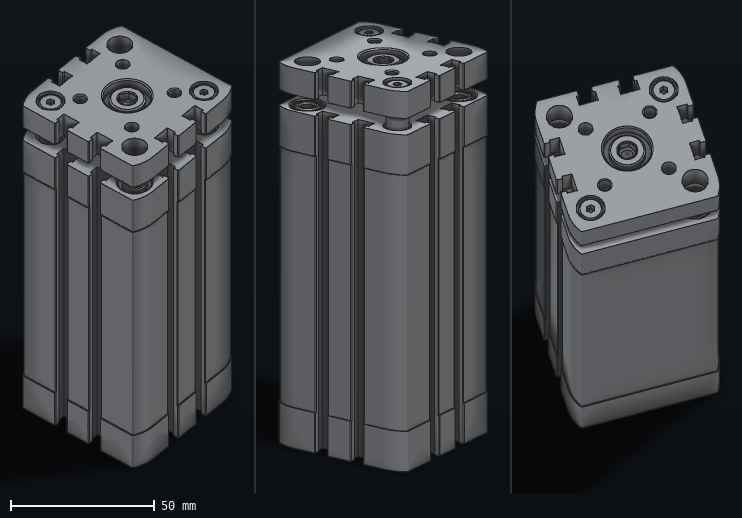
import cadquery as cq
import math


housing_length = 125.0
cap_length = 15.0
gap = 6.1
plate_thickness = 10.0
plate_bottom = housing_length + gap
plate_top = plate_bottom + plate_thickness

cap_width = 54.5
barrel_inset = 0.4
side_flat = 38.3
corner_radius = 14.5
corner_blend = 1.0

slot_pitch = 15.1
neck_width = 5.1
neck_depth = 2.2
mouth_chamfer = 0.35
slot_width = 6.9
slot_depth = 5.8
slot_sides = (-90, 0, 90)

station = 19.0
guide_points = [(-station, -station), (station, station)]
mount_points = [(-station, station), (station, -station)]

guide_diameter = 8.0
guide_tip_drop = 0.6
guide_tip_diameter = 8.5
guide_tip_chamfer = 0.5
guide_recess_diameter = 10.0
guide_recess_depth = 1.5
guide_socket_flats = 2.7
guide_socket_depth = 3.0
guide_socket_turn = 15.0

rod_diameter = 12.0
rod_flats = 10.0
rod_flat_length = 4.9
rod_flat_runout = 0.6
rod_insertion = cap_length
insertion_bottom = housing_length - rod_insertion

head_diameter = 12.8
head_chamfer = 0.6
head_drop = 1.2
recess_diameter = 17.0
recess_depth = 4.0
recess_chamfer = 0.5
head_socket_flats = 6.0
head_socket_depth = 3.5
head_socket_chamfer = 0.4
head_drill_diameter = 4.13
drill_tip_angle = 118.0

mount_access_diameter = 9.0
mount_hole_diameter = 4.92
mount_mouth_diameter = 6.4
mount_mouth_depth = (mount_mouth_diameter - mount_hole_diameter) / 2
ring_diameter = 12.0
ring_chamfer = 0.5
ring_depth = 2.0
collar_diameter = 9.0
collar_top_diameter = 8.0

fixing_circle_diameter = 33.0
fixing = fixing_circle_diameter / 2 / math.sqrt(2)
plain_points = [(-fixing, fixing), (fixing, -fixing)]
thread_points = [(-fixing, -fixing), (fixing, fixing)]
plain_diameter = 5.0
thread_diameter = 4.13
thread_chamfer = (plain_diameter - thread_diameter) / 2

centre = [(0, 0)]


def cylinders(points, diameter, bottom, top):
    """Upright cylinders on the given points."""
    return (
        cq.Workplane("XY", origin=(0, 0, bottom))
        .pushPoints(points)
        .circle(diameter / 2)
        .extrude(top - bottom)
    )


def cones(points, bottom_diameter, top_diameter, bottom, top):
    """Upright cones or truncated cones on the given points."""
    solid = cq.Solid.makeCone(bottom_diameter / 2, top_diameter / 2, top - bottom)
    return cq.Workplane("XY").newObject(
        [solid.translate(cq.Vector(x, y, bottom)) for x, y in points]
    ).combine()


def hexagons(points, flats, turn, bottom, top):
    """Upright hexagonal prisms; at zero turn two corners lie along X."""
    prism = (
        cq.Workplane("XY", origin=(0, 0, bottom))
        .polygon(6, flats / math.cos(math.pi / 6))
        .extrude(top - bottom)
        .val()
        .rotate(cq.Vector(0, 0, 0), cq.Vector(0, 0, 1), turn)
    )
    return cq.Workplane("XY").newObject(
        [prism.translate(cq.Vector(x, y, 0)) for x, y in points]
    ).combine()


def section_block(inset, bottom, top):
    """Block with arc corners, its faces moved inwards from the cap outline by the inset."""
    half = cap_width / 2 - inset
    flat = side_flat / 2
    rise = half - flat
    full_angle = math.asin(rise / corner_radius)
    arc_centre = half - corner_radius

    def arc_point(angle):
        x = arc_centre + corner_radius * math.cos(angle)
        y = flat + corner_radius * math.sin(angle)
        return x, y

    mid_x, mid_y = arc_point(full_angle / 2)
    end_x = arc_point(full_angle)[0]
    block = (
        cq.Workplane("XY", origin=(0, 0, bottom))
        .moveTo(half, -flat)
        .lineTo(half, flat)
        .threePointArc((mid_x, mid_y), (end_x, half))
        .lineTo(-end_x, half)
        .threePointArc((-mid_x, mid_y), (-half, flat))
        .lineTo(-half, -flat)
        .threePointArc((-mid_x, -mid_y), (-end_x, -half))
        .lineTo(end_x, -half)
        .threePointArc((mid_x, -mid_y), (half, -flat))
        .close()
        .extrude(top - bottom)
    )
    block = block.faces(">Y").edges("|Z").fillet(corner_blend)
    return block.faces("<Y").edges("|Z").fillet(corner_blend)


def cut_slots(block, inset, bottom, top):
    """Cut the T-slots, with their mouths chamfered at the block's own faces."""
    edge = -cap_width / 2
    face = edge + inset
    neck = neck_width / 2
    mouth = neck + mouth_chamfer
    inner = slot_width / 2
    profile = [
        (-mouth, edge),
        (-mouth, face),
        (-neck, face + mouth_chamfer),
        (-neck, edge + neck_depth),
        (-inner, edge + neck_depth),
        (-inner, edge + slot_depth),
    ]
    profile += [(-x, y) for x, y in reversed(profile)]
    if inset == 0:
        profile = profile[1:-1]
    for turn in slot_sides:
        for offset in (-slot_pitch / 2, slot_pitch / 2):
            slot = (
                cq.Workplane("XY", origin=(0, 0, bottom))
                .polyline([(x + offset, y) for x, y in profile])
                .close()
                .extrude(top - bottom)
            )
            block = block.cut(slot.rotate((0, 0, 0), (0, 0, 1), turn))
    return block


def slotted_block(inset, bottom, top):
    """Block with the arc-cornered outline and the T-slots."""
    return cut_slots(section_block(inset, bottom, top), inset, bottom, top)


def cut_mounting_holes(body):
    """Through holes, each with a chamfered collar inside a chamfered ring recess."""
    top = housing_length
    floor = top - ring_depth
    collar_shoulder = top - (collar_diameter - collar_top_diameter) / 2
    ring = cylinders(mount_points, ring_diameter, floor, top)
    ring = ring.union(
        cones(mount_points, ring_diameter, ring_diameter + 2 * ring_chamfer, top - ring_chamfer, top)
    )
    collar = cylinders(mount_points, collar_diameter, floor, collar_shoulder)
    collar = collar.union(
        cones(mount_points, collar_diameter, collar_top_diameter, collar_shoulder, top)
    )
    body = body.cut(ring.cut(collar))
    body = body.cut(cylinders(mount_points, mount_hole_diameter, 0, top))
    return body.cut(
        cones(mount_points, mount_hole_diameter, mount_mouth_diameter, top - mount_mouth_depth, top)
    )


def build_housing():
    """Slotted barrel with an end cap at each end, bored for the rods and mounting screws."""
    top = housing_length
    body = slotted_block(0, 0, cap_length)
    body = body.union(slotted_block(barrel_inset, cap_length, top - cap_length))
    body = body.union(slotted_block(0, top - cap_length, top))
    body = body.cut(cylinders(centre, rod_diameter, insertion_bottom, top))
    body = body.cut(cylinders(guide_points, guide_diameter, insertion_bottom, top))
    body = body.cut(cylinders(guide_points, guide_recess_diameter, top - guide_recess_depth, top))
    return cut_mounting_holes(body)


def build_plate():
    """Front plate with its holes and the recesses around the rod ends."""
    top = plate_top
    plate = slotted_block(0, plate_bottom, top)
    plate = plate.cut(cylinders(mount_points, mount_access_diameter, plate_bottom, top))
    plate = plate.cut(cylinders(plain_points, plain_diameter, plate_bottom, top))
    plate = plate.cut(cylinders(thread_points, thread_diameter, plate_bottom, top))
    plate = plate.cut(cones(thread_points, thread_diameter, plain_diameter, top - thread_chamfer, top))
    plate = plate.cut(cylinders(guide_points, guide_recess_diameter, top - guide_recess_depth, top))
    plate = plate.cut(cylinders(centre, recess_diameter, top - recess_depth, top))
    mouth_diameter = recess_diameter + 2 * recess_chamfer
    return plate.cut(cones(centre, recess_diameter, mouth_diameter, top - recess_chamfer, top))


def build_guide_rods():
    """Guide rods with a chamfered collar at the upper end."""
    tip_bottom = plate_top - guide_recess_depth
    tip_top = plate_top - guide_tip_drop
    tips = cylinders(guide_points, guide_tip_diameter, tip_bottom, tip_top)
    tips = tips.faces(">Z").chamfer(guide_tip_chamfer)
    return cylinders(guide_points, guide_diameter, insertion_bottom, tip_bottom).union(tips)


def build_piston_rod():
    """Piston rod with two wrench flats and a chamfered head."""
    radius = rod_diameter / 2
    flat = rod_flats / 2
    flat_end = plate_bottom - rod_flat_length
    slope_end = flat_end - rod_flat_runout
    rod = cylinders(centre, rod_diameter, insertion_bottom, plate_bottom)
    flat_cutter = (
        cq.Workplane("YZ")
        .polyline([(flat, plate_bottom), (flat, flat_end), (radius, slope_end), (radius, plate_bottom)])
        .close()
        .extrude(radius, both=True)
    )
    rod = rod.cut(flat_cutter).cut(flat_cutter.mirror("XZ"))
    head = cylinders(centre, head_diameter, plate_bottom, plate_top - head_drop)
    return rod.union(head.faces(">Z").chamfer(head_chamfer))


def cut_head_socket(piston):
    """Hexagon socket in the rod head, its mouth countersunk and a drill point in its floor."""
    face = plate_top - head_drop
    floor = face - head_socket_depth
    mouth_diameter = head_socket_flats / math.cos(math.pi / 6) + head_socket_chamfer
    mouth_floor_diameter = mouth_diameter - 2 * head_socket_chamfer
    tip_depth = head_drill_diameter / 2 / math.tan(math.radians(drill_tip_angle / 2))
    piston = piston.cut(hexagons(centre, head_socket_flats, 0, floor, face))
    piston = piston.cut(
        cones(centre, mouth_floor_diameter, mouth_diameter, face - head_socket_chamfer, face)
    )
    return piston.cut(cones(centre, 0, head_drill_diameter, floor - tip_depth, floor))


def cut_guide_sockets(piston):
    """Hexagon sockets in the guide rod ends."""
    tip = plate_top - guide_tip_drop
    floor = tip - guide_socket_depth
    return piston.cut(hexagons(guide_points, guide_socket_flats, guide_socket_turn, floor, tip))


def build_piston():
    """Moving body: front plate, piston rod and guide rods in one piece."""
    piston = build_plate().union(build_piston_rod()).union(build_guide_rods())
    return cut_guide_sockets(cut_head_socket(piston))


housing = build_housing()
piston = build_piston()
result = cq.Compound.makeCompound([*housing.solids().vals(), *piston.solids().vals()])